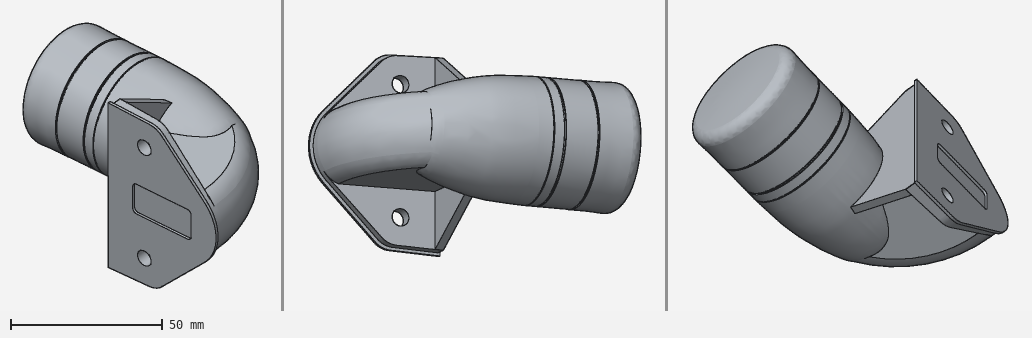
import cadquery as cq
import math

TOTAL_LENGTH = 97.3
AXIS_Y = 35.0

LENS_LENGTH = 16.5
LENS_DOME_RISE = 1.0
LENS_FRONT_RADIUS = 21.8
LENS_BACK_RADIUS = 21.5
LENS_ROUNDING = 3.9

BARREL_RADIUS = 21.4
NECK_LENGTH = 0.6
GROOVE_DEPTH = 0.5
GROOVES = ((28.4, 0.7), (32.6, 0.3))
TAPER_START_X = 38.1
TAPER_START_RADIUS = 21.2
TAPER_MID_X = 55.5
TAPER_MID_RADIUS = 19.2
TAPER_END_X = 69.2
TAPER_END_RADIUS = 14.7
TIP_MID_X = 70.8
TIP_MID_RADIUS = 13.9
TIP_X = 72.8
TIP_RADIUS = 12.5

FLANGE_LEFT_X = 50.7
FLANGE_THICKNESS = 1.1
FLANGE_HALF_HEIGHT = 33.5
FLANGE_CORNER_DROP = 0.6
FLANGE_CORNER_ROUNDING = 7.8
NOSE_RADIUS = 17.4
SLAB_EDGE_INSET = 1.0
SLAB_NOSE_INSET = 1.3
SLAB_LEFT_X = 51.4
SLAB_LEFT_Y = 5.4
SLAB_RIGHT_Y = 3.7

ELBOW_CENTER_X = 45.9
ELBOW_CENTER_Y = 5.1
ELBOW_OUTER_RADIUS = TOTAL_LENGTH - SLAB_NOSE_INSET - ELBOW_CENTER_X
ELBOW_INNER_RADIUS = 35.4
ELBOW_ANGLE = 62.3
ELBOW_NOSE_RADIUS = NOSE_RADIUS - SLAB_NOSE_INSET
ELBOW_NOSE_HALF_HEIGHT = 9.1
ELBOW_SHOULDER_DEPTH = 7.9
CORE_HALF_HEIGHT = 12.85

WALL_FOOT_THICKNESS = 3.0
WALL_LEAN = 0.8
WALL_FOOT_HALF_HEIGHT = 32.4
WALL_TOP_Y = 29.6
WALL_TOP_HALF_HEIGHT = 18.5

HOLE_DIAMETER = 5.8
HOLE_X = 66.4
HOLE_Z = 22.5
RECESS_LENGTH = 25.2
RECESS_HEIGHT = 12.1
RECESS_CENTER_X = 74.0
RECESS_ROUNDING = 1.7
RECESS_DEPTH = 1.0


def revolve_about_barrel_axis(half_profile):
    """Turn a half profile drawn as (X, radius) around the barrel axis."""
    turned = half_profile.close().revolve(360, (0, 0, 0), (1, 0, 0))
    return turned.translate((0, AXIS_Y, 0))


def make_lens():
    dome_radius = (LENS_FRONT_RADIUS**2 + LENS_DOME_RISE**2) / (2 * LENS_DOME_RISE)
    mid_radius = LENS_FRONT_RADIUS / 2
    mid_x = dome_radius - math.sqrt(dome_radius**2 - mid_radius**2)
    profile = (
        cq.Workplane("XY")
        .threePointArc((mid_x, mid_radius), (LENS_DOME_RISE, LENS_FRONT_RADIUS))
        .lineTo(LENS_LENGTH, LENS_BACK_RADIUS)
        .lineTo(LENS_LENGTH, 0)
    )
    lens = revolve_about_barrel_axis(profile)
    front_rim = cq.selectors.BoxSelector(
        (-1, -TOTAL_LENGTH, -TOTAL_LENGTH),
        (LENS_LENGTH / 2, TOTAL_LENGTH, TOTAL_LENGTH),
    )
    return lens.edges("%CIRCLE").edges(front_rim).fillet(LENS_ROUNDING)


def make_barrel():
    groove_radius = BARREL_RADIUS - GROOVE_DEPTH
    neck_end_x = LENS_LENGTH + NECK_LENGTH
    profile = (
        cq.Workplane("XY")
        .moveTo(LENS_LENGTH, 0)
        .lineTo(LENS_LENGTH, groove_radius)
        .lineTo(neck_end_x, groove_radius)
        .lineTo(neck_end_x, BARREL_RADIUS)
    )
    for start_x, width in GROOVES:
        profile = (
            profile.lineTo(start_x, BARREL_RADIUS)
            .lineTo(start_x, groove_radius)
            .lineTo(start_x + width, groove_radius)
            .lineTo(start_x + width, BARREL_RADIUS)
        )
    profile = (
        profile.lineTo(TAPER_START_X, TAPER_START_RADIUS)
        .threePointArc((TAPER_MID_X, TAPER_MID_RADIUS), (TAPER_END_X, TAPER_END_RADIUS))
        .threePointArc((TIP_MID_X, TIP_MID_RADIUS), (TIP_X, TIP_RADIUS))
        .lineTo(TIP_X, 0)
    )
    return revolve_about_barrel_axis(profile)


def elbow_section():
    """Elbow cross-section at the foot of the bend: round nose, rounded shoulders, flat sides."""
    outer_x = ELBOW_CENTER_X + ELBOW_OUTER_RADIUS
    inner_x = ELBOW_CENTER_X + ELBOW_INNER_RADIUS
    shoulder_x = outer_x - ELBOW_SHOULDER_DEPTH
    nose_angle = math.asin(ELBOW_NOSE_HALF_HEIGHT / ELBOW_NOSE_RADIUS)
    nose_end_x = outer_x - ELBOW_NOSE_RADIUS * (1 - math.cos(nose_angle))
    half_nose = nose_angle / 2
    mid_nose = (
        outer_x - ELBOW_NOSE_RADIUS * (1 - math.cos(half_nose)),
        ELBOW_NOSE_RADIUS * math.sin(half_nose),
    )
    return (
        cq.Workplane("XZ", origin=(0, ELBOW_CENTER_Y, 0))
        .moveTo(outer_x, 0)
        .threePointArc(mid_nose, (nose_end_x, ELBOW_NOSE_HALF_HEIGHT))
        .tangentArcPoint((shoulder_x, CORE_HALF_HEIGHT), relative=False)
        .lineTo(inner_x, CORE_HALF_HEIGHT)
        .lineTo(inner_x, 0)
        .mirrorX()
    )


def make_elbow():
    """Bend from the barrel, then a straight stretch down to the flange."""
    straight = elbow_section().extrude(ELBOW_CENTER_Y - FLANGE_THICKNESS)
    bend = elbow_section().revolve(ELBOW_ANGLE, (ELBOW_CENTER_X, 0, 0), (ELBOW_CENTER_X, 1, 0))
    return straight.union(bend)


def make_core():
    """Flat-sided web that fills the space between wall, base, barrel and elbow."""
    inner_x = ELBOW_CENTER_X + ELBOW_INNER_RADIUS

    def bend_point(angle):
        return (
            ELBOW_CENTER_X + ELBOW_INNER_RADIUS * math.cos(math.radians(angle)),
            ELBOW_CENTER_Y + ELBOW_INNER_RADIUS * math.sin(math.radians(angle)),
        )

    wall_x = SLAB_LEFT_X + WALL_FOOT_THICKNESS / 2
    return (
        cq.Workplane("XY")
        .moveTo(wall_x, FLANGE_THICKNESS)
        .lineTo(inner_x, FLANGE_THICKNESS)
        .lineTo(inner_x, ELBOW_CENTER_Y)
        .threePointArc(bend_point(ELBOW_ANGLE / 2), bend_point(ELBOW_ANGLE))
        .lineTo(wall_x, AXIS_Y)
        .close()
        .extrude(CORE_HALF_HEIGHT, both=True)
    )


def base_plate(left_x, edge_inset, nose_inset, thickness):
    """Plate with two rounded corners, 45 degree flanks and a round nose."""
    diagonal = math.sqrt(0.5)
    nose_radius = NOSE_RADIUS - nose_inset
    nose_center_x = TOTAL_LENGTH - NOSE_RADIUS
    nose_x = nose_center_x + nose_radius * diagonal
    nose_z = nose_radius * diagonal
    edge_z = FLANGE_HALF_HEIGHT - edge_inset
    corner_z = edge_z - FLANGE_CORNER_DROP
    corner_x = nose_x + nose_z - corner_z
    plate = (
        cq.Workplane("XZ")
        .moveTo(left_x, -edge_z)
        .lineTo(corner_x, -corner_z)
        .lineTo(nose_x, -nose_z)
        .threePointArc((nose_center_x + nose_radius, 0), (nose_x, nose_z))
        .lineTo(corner_x, corner_z)
        .lineTo(left_x, edge_z)
        .close()
        .extrude(-thickness)
    )
    corners = cq.selectors.BoxSelector(
        (corner_x - 1, -1, -TOTAL_LENGTH), (corner_x + 1, thickness + 1, TOTAL_LENGTH)
    )
    return plate.edges("|Y").edges(corners).fillet(FLANGE_CORNER_ROUNDING)


def make_base():
    flange = base_plate(FLANGE_LEFT_X, 0, 0, FLANGE_THICKNESS)
    slab = base_plate(SLAB_LEFT_X, SLAB_EDGE_INSET, SLAB_NOSE_INSET, SLAB_LEFT_Y)
    sloped_side = (
        cq.Workplane("XY")
        .moveTo(SLAB_LEFT_X, 0)
        .lineTo(TOTAL_LENGTH, 0)
        .lineTo(TOTAL_LENGTH, SLAB_RIGHT_Y)
        .lineTo(SLAB_LEFT_X, SLAB_LEFT_Y)
        .close()
        .extrude(FLANGE_HALF_HEIGHT, both=True)
    )
    return flange.union(slab.intersect(sloped_side))


def make_wall():
    """Gusset wall that narrows from the base to the barrel and leans outwards."""
    side = (
        cq.Workplane("XY")
        .moveTo(SLAB_LEFT_X, 0)
        .lineTo(SLAB_LEFT_X + WALL_FOOT_THICKNESS, 0)
        .lineTo(SLAB_LEFT_X + WALL_FOOT_THICKNESS - WALL_LEAN, WALL_TOP_Y)
        .lineTo(SLAB_LEFT_X - WALL_LEAN, WALL_TOP_Y)
        .close()
        .extrude(WALL_FOOT_HALF_HEIGHT, both=True)
    )
    front = (
        cq.Workplane("YZ")
        .moveTo(FLANGE_THICKNESS, -WALL_FOOT_HALF_HEIGHT)
        .lineTo(SLAB_LEFT_Y, -WALL_FOOT_HALF_HEIGHT)
        .lineTo(WALL_TOP_Y, -WALL_TOP_HALF_HEIGHT)
        .lineTo(WALL_TOP_Y, WALL_TOP_HALF_HEIGHT)
        .lineTo(SLAB_LEFT_Y, WALL_FOOT_HALF_HEIGHT)
        .lineTo(FLANGE_THICKNESS, WALL_FOOT_HALF_HEIGHT)
        .close()
        .extrude(TOTAL_LENGTH)
    )
    return side.intersect(front)


def make_screw_holes():
    return (
        cq.Workplane("XZ")
        .pushPoints([(HOLE_X, HOLE_Z), (HOLE_X, -HOLE_Z)])
        .circle(HOLE_DIAMETER / 2)
        .extrude(-AXIS_Y)
    )


def make_recess():
    return (
        cq.Workplane("XZ", origin=(RECESS_CENTER_X, 0, 0))
        .rect(RECESS_LENGTH, RECESS_HEIGHT)
        .extrude(-RECESS_DEPTH)
        .edges("|Y")
        .fillet(RECESS_ROUNDING)
    )


def make_housing():
    housing = make_barrel().union(make_elbow()).union(make_core())
    housing = housing.union(make_wall()).union(make_base())
    return housing.cut(make_screw_holes()).cut(make_recess())


lens = make_lens()
housing = make_housing()
result = cq.Compound.makeCompound([lens.val(), *housing.vals()])